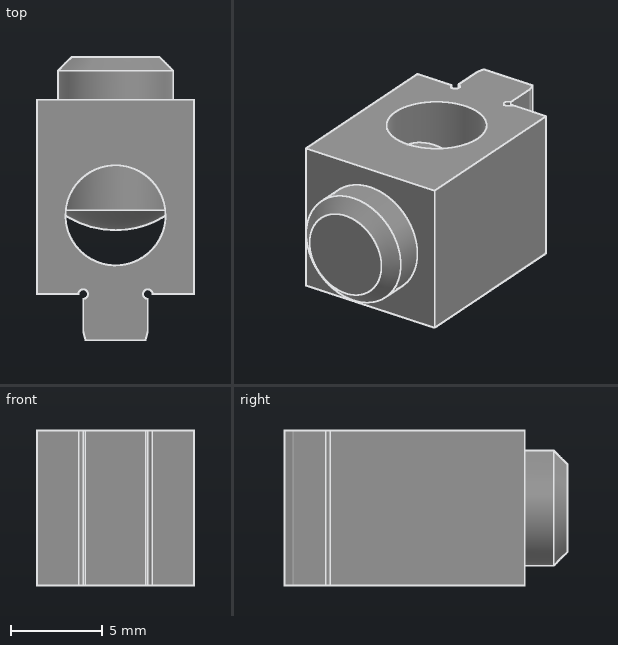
import cadquery as cq

BLOCK_WIDTH = 8.64
BLOCK_HEIGHT = 8.53
BLOCK_LENGTH = 10.67
TONGUE_WIDTH = 3.55
TONGUE_LENGTH = 2.54
TONGUE_TAPER_LENGTH = 0.47
TONGUE_TAPER_INSET = 0.12
RELIEF_DIAMETER = 0.51
WIRE_HOLE_DIAMETER = 5.5
WIRE_HOLE_FROM_FRONT = 4.33

TOTAL_LENGTH = 15.56
SCREW_DIAMETER = 6.35
SCREW_CHAMFER = 0.76
SCREW_SHANK_IN_BLOCK = 6.07
DOME_HEIGHT = 1.1

block_front = 0
block_back = block_front + BLOCK_LENGTH
tongue_end = block_front - TONGUE_LENGTH
wire_hole_y = block_front + WIRE_HOLE_FROM_FRONT
screw_outer_end = tongue_end + TOTAL_LENGTH
dome_base = block_back - SCREW_SHANK_IN_BLOCK
dome_tip = dome_base - DOME_HEIGHT
screw_radius = SCREW_DIAMETER / 2
dome_radius = (screw_radius**2 + DOME_HEIGHT**2) / (2 * DOME_HEIGHT)


def make_screw():
    """Screw turned about the Y axis; its dome is a cap of a sphere."""
    arc_middle_x = screw_radius / 2
    dome_center_y = dome_tip + dome_radius
    arc_middle_y = dome_center_y - (dome_radius**2 - arc_middle_x**2) ** 0.5
    return (
        cq.Workplane("XY")
        .moveTo(0, dome_tip)
        .threePointArc((arc_middle_x, arc_middle_y), (screw_radius, dome_base))
        .lineTo(screw_radius, screw_outer_end - SCREW_CHAMFER)
        .lineTo(screw_radius - SCREW_CHAMFER, screw_outer_end)
        .lineTo(0, screw_outer_end)
        .close()
        .revolve(360, (0, 0, 0), (0, 1, 0))
    )


def bottom_plane():
    """XY workplane on the underside of the block."""
    return cq.Workplane("XY").workplane(offset=-BLOCK_HEIGHT / 2)


def make_block_with_tongue():
    """Block and tapered tongue as one extruded outline, centred on Z = 0."""
    half_width = BLOCK_WIDTH / 2
    half_tongue = TONGUE_WIDTH / 2
    half_tip = half_tongue - TONGUE_TAPER_INSET
    taper_start = tongue_end + TONGUE_TAPER_LENGTH
    outline = [
        (-half_width, block_back),
        (-half_width, block_front),
        (-half_tongue, block_front),
        (-half_tongue, taper_start),
        (-half_tip, tongue_end),
        (half_tip, tongue_end),
        (half_tongue, taper_start),
        (half_tongue, block_front),
        (half_width, block_front),
        (half_width, block_back),
    ]
    return bottom_plane().polyline(outline).close().extrude(BLOCK_HEIGHT)


def vertical_cutter(diameter, points):
    """Cylinders through the full block height, centred on the given XY points."""
    return (
        bottom_plane()
        .pushPoints(points)
        .circle(diameter / 2)
        .extrude(BLOCK_HEIGHT)
    )


def make_block(screw):
    """Block with its wire hole, the corner reliefs beside the tongue and the screw's seat."""
    tongue_corners = [(side * TONGUE_WIDTH / 2, block_front) for side in (-1, 1)]
    reliefs = vertical_cutter(RELIEF_DIAMETER, tongue_corners)
    wire_hole = vertical_cutter(WIRE_HOLE_DIAMETER, [(0, wire_hole_y)])
    return make_block_with_tongue().cut(wire_hole).cut(reliefs).cut(screw)


screw = make_screw()
block = make_block(screw)

result = cq.Compound.makeCompound([block.val(), screw.val()])